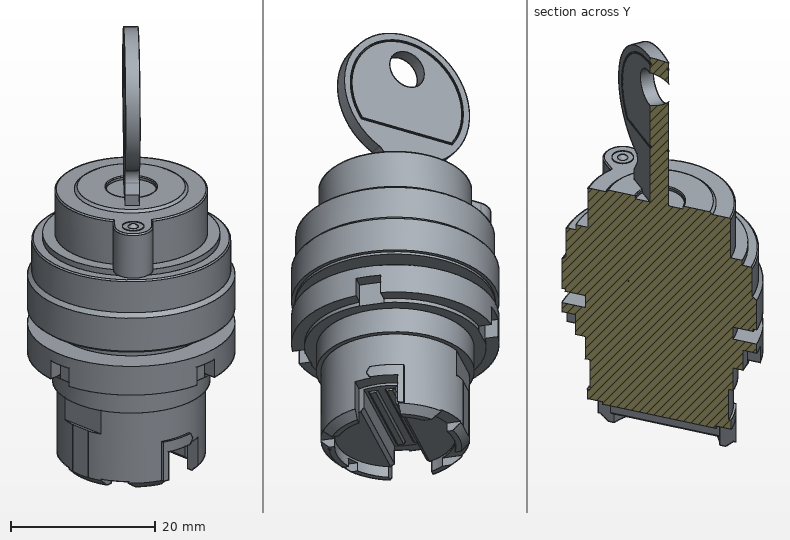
import cadquery as cq
import math


EPS = 0.1

rim_z = 0.12
shell_top_z = 12.26
nut_z = 16.03
nut_flange_z = 16.63
nut_top_z = 21.03
bezel_z = 22.98
bezel_wide_z = 23.37
bezel_cone_z = 28.4
bezel_narrow_z = 28.97
bezel_top_z = 33.92
cap_z = 34.76
cap_top_z = 41.47
disc_top_z = 41.83

shell_r = 20.6 / 2
collar_r = 21.9 / 2
nut_lip_r = 25.2 / 2
bezel_r = 28.8 / 2
bezel_foot_r = 27.8 / 2
bezel_narrow_r = 27.6 / 2
cap_seat_r = 24.6 / 2
cap_r = 21.2 / 2
disc_r = 7.9
disc_top_r = 7.5
bezel_chamfer = 0.2
rim_chamfer = 1.1

nut_slot_width = 3.5
nut_slot_top_z = 19.4
nut_slot_floor_r = 12.4

cap_chamfer = 0.2
ear_r = 5.5 / 2
ear_distance = 12.1
ear_angle = -45
ear_recess_r = 3.0 / 2
ear_recess_depth = 0.1
dome_r = 0.72
dome_rise = 0.3
keyhole_r = 3.5
keyhole_depth = 0.5
keyhole_chamfer = 0.15

window_width = 7.0
window_z = 8.33
window_flat_y = -9.7
flat_width = 3.0
flat_y = -10.14
core_r = 8.4
core_z = 1.8
side_notch_width = 6.2
side_notch_top_z = 5.55
channel_width = 4.6
channel_top_z = 5.15
channel_chamfer = 0.5
rib_half_length = 7.4
rib_height = 0.3
rib_inner_y = 0.5
rib_outer_y = 1.9
rim_gap_top_z = 1.42
front_rim_gaps = [(-6.1, -2.35), (3.5, 6.8)]
rear_rim_gaps = [(-5.0, -2.35), (3.5, 5.0)]
pip_x = -1.7
pip_y = 8.9
pip_r = 0.3

pad_r = 10.65
pad_top_z = 7.2
pad_arm_y = -3.88
pad_nose_y = 1.3
pad_nose_set_back = 0.5

key_angle = -45
key_thickness = 2.0
key_head_r = 10.0
key_head_x = 1.32
key_top_z = 65.89
key_head_z = key_top_z - key_head_r
key_hole_r = 5.5 / 2
key_hole_z = 60.5
key_groove_r = 9.0
key_groove_bottom_z = 50.55
key_groove_width = 0.2
key_groove_depth = 0.15
blade_left_x = -2.3
blade_right_x = 6.22
neck_right_x = 5.05
neck_start_x = 5.3
neck_fillet = 1.5
shoulder_z = 43.45
neck_end = (5.36, 44.85)


def cylinder(radius, z_low, z_high):
    return cq.Workplane("XY").workplane(offset=z_low).circle(radius).extrude(z_high - z_low)


def block(x_range, y_range, z_range):
    sizes = [high - low for low, high in (x_range, y_range, z_range)]
    return cq.Workplane("XY").box(*sizes, centered=False).translate((x_range[0], y_range[0], z_range[0]))


def make_turned_body():
    profile = [
        (0, rim_z),
        (shell_r - rim_chamfer, rim_z),
        (shell_r, rim_z + rim_chamfer),
        (shell_r, shell_top_z),
        (collar_r, shell_top_z),
        (collar_r, nut_z),
        (nut_lip_r, nut_z),
        (nut_lip_r, nut_flange_z),
        (bezel_r, nut_flange_z),
        (bezel_r, nut_top_z),
        (collar_r, nut_top_z),
        (collar_r, bezel_z),
        (bezel_foot_r, bezel_z),
        (bezel_foot_r, bezel_wide_z),
        (bezel_r, bezel_wide_z),
        (bezel_r, bezel_cone_z),
        (bezel_narrow_r, bezel_narrow_z),
        (bezel_narrow_r, bezel_top_z - bezel_chamfer),
        (bezel_narrow_r - bezel_chamfer, bezel_top_z),
        (cap_seat_r, bezel_top_z),
        (cap_seat_r, cap_z),
        (0, cap_z),
    ]
    return cq.Workplane("XZ").polyline(profile).close().revolve(360, (0, 0, 0), (0, 1, 0))


def cut_nut_slots(body):
    half = nut_slot_width / 2
    slot = block((nut_slot_floor_r, bezel_r + EPS), (-half, half), (nut_z - EPS, nut_slot_top_z))
    for angle in (0, 90, 180, 270):
        body = body.cut(slot.rotate((0, 0, 0), (0, 0, 1), angle))
    return body


def make_cap():
    ear = cylinder(ear_r, cap_z, cap_top_z).translate((ear_distance, 0, 0))
    bridge = block((0, ear_distance), (-ear_r, ear_r), (cap_z, cap_top_z))
    cap = cylinder(cap_r, cap_z, cap_top_z).union(ear).union(bridge)
    cap = cap.faces(">Z").edges().chamfer(cap_chamfer)

    recess_z = cap_top_z - ear_recess_depth
    recess = cylinder(ear_recess_r, recess_z, cap_top_z + EPS)
    dome_height = ear_recess_depth + dome_rise
    sphere_r = (dome_r**2 + dome_height**2) / (2 * dome_height)
    dome = cq.Workplane("XY").sphere(sphere_r).translate((0, 0, recess_z + dome_height - sphere_r))
    cap = cap.cut(recess.translate((ear_distance, 0, 0)))
    cap = cap.union(dome.translate((ear_distance, 0, 0)))
    cap = cap.rotate((0, 0, 0), (0, 0, 1), ear_angle)

    disc = (
        cq.Workplane("XY")
        .workplane(offset=cap_top_z)
        .circle(disc_r)
        .workplane(offset=disc_top_z - cap_top_z)
        .circle(disc_top_r)
        .loft()
    )
    keyhole = cylinder(keyhole_r, disc_top_z - keyhole_depth, disc_top_z + EPS)
    disc = disc.cut(keyhole)
    disc = disc.faces(">Z").edges(cq.selectors.RadiusNthSelector(0)).chamfer(keyhole_chamfer)
    return cap.cut(keyhole).union(disc)


def cut_front_flats(body):
    outside_y = -shell_r - EPS
    half_window = window_width / 2
    half_flat = flat_width / 2
    window = block((-half_window, half_window), (outside_y, window_flat_y), (window_z, shell_top_z))
    flat = block((-half_flat, half_flat), (outside_y, flat_y), (0, window_z))
    return body.cut(window).cut(flat)


def make_pads():
    notch_edge_y = -side_notch_width / 2
    nose_middle_z = (pad_top_z + side_notch_top_z) / 2
    outline = [
        (pad_arm_y, rim_z + rim_chamfer),
        (notch_edge_y, rim_z + rim_chamfer),
        (notch_edge_y, side_notch_top_z),
        (pad_nose_y - pad_nose_set_back, side_notch_top_z),
        (pad_nose_y, nose_middle_z),
        (pad_nose_y - pad_nose_set_back, pad_top_z),
        (pad_arm_y, pad_top_z),
    ]
    prism = cq.Workplane("YZ").polyline(outline).close().extrude(pad_r, both=True)
    sleeve = cylinder(pad_r, 0, shell_top_z).cut(cylinder(core_r, 0, shell_top_z))
    return prism.intersect(sleeve)


def cut_underside(body):
    reach = pad_r + EPS
    half_notch = side_notch_width / 2
    half_channel = channel_width / 2

    body = body.cut(cylinder(core_r, -EPS, core_z))
    notch = block((-reach, reach), (-half_notch, half_notch), (-EPS, side_notch_top_z))
    body = body.cut(notch.cut(cylinder(core_r, -EPS, shell_top_z)))

    channel_outline = [
        (-half_channel - channel_chamfer, core_z),
        (half_channel + channel_chamfer, core_z),
        (half_channel, core_z + channel_chamfer),
        (half_channel, channel_top_z),
        (-half_channel, channel_top_z),
        (-half_channel, core_z + channel_chamfer),
    ]
    channel = cq.Workplane("YZ").polyline(channel_outline).close().extrude(core_r, both=True)
    body = body.cut(channel)

    for ranges, side in ((front_rim_gaps, -1), (rear_rim_gaps, 1)):
        y_range = sorted((0, side * reach))
        for x_range in ranges:
            body = body.cut(block(x_range, y_range, (-EPS, rim_gap_top_z)))
    return body


def make_channel_ribs():
    ribs = cq.Workplane("YZ")
    for side in (-1, 1):
        outline = [
            (side * rib_inner_y, channel_top_z + EPS),
            (side * rib_outer_y, channel_top_z + EPS),
            (side * rib_outer_y, channel_top_z),
            (side * (rib_outer_y - rib_height), channel_top_z - rib_height),
            (side * (rib_inner_y + rib_height), channel_top_z - rib_height),
            (side * rib_inner_y, channel_top_z),
        ]
        rib = cq.Workplane("YZ").polyline(outline).close().extrude(rib_half_length, both=True)
        ribs = ribs.add(rib)
    return ribs.combine()


def make_pip():
    cone = cq.Solid.makeCone(0, pip_r, rim_z + EPS)
    return cq.Workplane(cone).translate((pip_x, pip_y, 0))


def make_key_panel(radius, bottom_z):
    """Plate of key thickness: a disc on the head centre, cut off straight at bottom_z."""
    half_chord = math.sqrt(radius**2 - (key_head_z - bottom_z) ** 2)
    return (
        cq.Workplane("XZ")
        .moveTo(key_head_x - half_chord, bottom_z)
        .threePointArc((key_head_x, key_head_z + radius), (key_head_x + half_chord, bottom_z))
        .close()
        .extrude(key_thickness / 2, both=True)
    )


def make_key():
    half = key_thickness / 2
    blade_end_z = disc_top_z - keyhole_depth - EPS

    def head_bottom_z(x):
        return key_head_z - math.sqrt(key_head_r**2 - (x - key_head_x) ** 2)

    neck_start = (neck_start_x, head_bottom_z(neck_start_x))
    neck_middle = (neck_right_x, (neck_start[1] + neck_end[1]) / 2)
    key = (
        cq.Workplane("XZ")
        .moveTo(blade_left_x, blade_end_z)
        .lineTo(blade_right_x, blade_end_z)
        .lineTo(blade_right_x, shoulder_z)
        .lineTo(*neck_end)
        .threePointArc(neck_middle, neck_start)
        .threePointArc((key_head_x, key_top_z), (blade_left_x, head_bottom_z(blade_left_x)))
        .close()
        .extrude(half, both=True)
    )
    neck_corner = cq.selectors.NearestToPointSelector((blade_left_x, 0, head_bottom_z(blade_left_x)))
    key = key.edges("|Y").edges(neck_corner).fillet(neck_fillet)

    hole = (
        cq.Workplane("XZ", origin=(key_head_x, half, key_hole_z))
        .circle(key_hole_r)
        .extrude(key_thickness)
    )
    groove = make_key_panel(key_groove_r, key_groove_bottom_z)
    groove = groove.cut(
        make_key_panel(key_groove_r - key_groove_width, key_groove_bottom_z + key_groove_width)
    )
    groove_shift = key_thickness - key_groove_depth
    for side in (-1, 1):
        key = key.cut(groove.translate((0, side * groove_shift, 0)))
    return key.cut(hole).rotate((0, 0, 0), (0, 0, 1), key_angle)


body = cut_nut_slots(make_turned_body())
body = cut_front_flats(body)
body = body.union(make_pads())
body = cut_underside(body)
body = body.union(make_channel_ribs()).union(make_pip())
result = body.union(make_cap()).union(make_key())